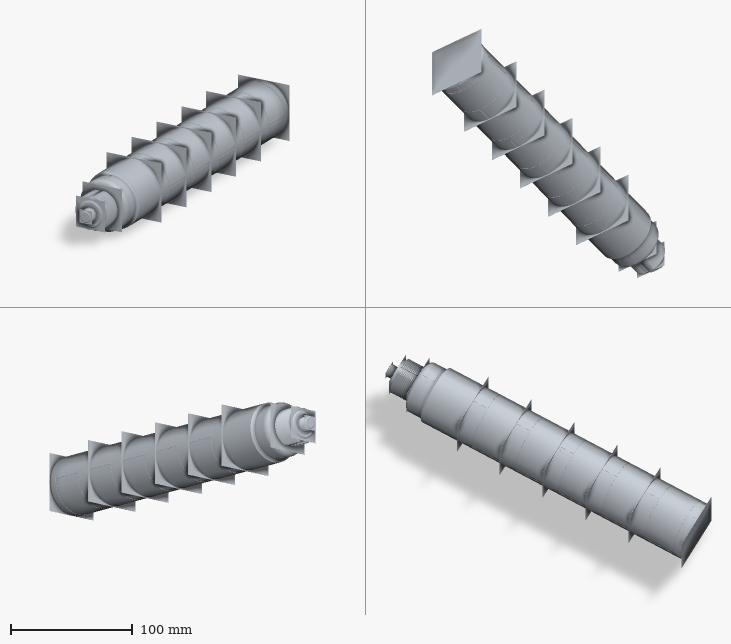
import cadquery as cq

length = 292.0

body_radius = 25.0
rear_radius = 24.2
rear_taper = 2.3
shoulder_y = 44.5
shoulder_chamfer = 1.0
shoulder_end_radius = 24.0

module_count = 5
first_module_front_y = 242.8
last_module_front_y = 79.8
module_pitch = (first_module_front_y - last_module_front_y) / (module_count - 1)
ring_length = 13.7
lens_length = module_pitch - ring_length
rear_joint_y = first_module_front_y + module_pitch
joint_width = 0.5
joint_depth = 0.3

seam_width = 2.5
seam_depth = 0.3

neck_radius = 22.8
neck_top_y = 43.0
neck_end_y = 27.8
neck_fillet = 4.5

mount_radius = 15.8
mount_root_radius = 14.5
mount_start_y = 26.3
mount_pitch = 1.5
mount_turns = 11
mount_end_y = mount_start_y - mount_turns * mount_pitch
mount_relief_radius = 14.0
mount_flat_height = 15.0
key_slot_width = 3.5
key_slot_floor = 13.7

nose_radius = 13.7
nose_end_y = 8.5
rim_outer_radius = 12.0
rim_top_radius = 10.5
rim_inner_radius = 8.8
rim_height = 1.0

plug_radius = 5.8
plug_root_radius = 5.3
plug_pitch = 1.02
plug_turns = 7
plug_tip_radius = 4.0
plug_tip_length = 0.5

plate_thickness = 0.15
module_plate_side = 52.0
rear_plate_side = 49.0
neck_plate_side = 37.7
nose_plate_side = 27.2
tip_plate_side = 11.7

module_front_ys = [first_module_front_y - i * module_pitch for i in range(module_count)]


def thread_points(crest, root, start_y, pitch, turns):
    """Saw-tooth outline running towards -Y, starting and ending at the root."""
    points = [(root, start_y)]
    for turn in range(turns):
        turn_y = start_y - turn * pitch
        points.append((crest, turn_y - pitch / 2))
        points.append((root, turn_y - pitch))
    return points


def turned(points):
    """Revolve a closed (radius, Y) outline about the Y axis."""
    return cq.Workplane("XY").polyline(points).close().revolve(360, (0, 0, 0), (0, 1, 0))


def box(size_x, size_y, size_z, center):
    """Block centred on the given point."""
    return cq.Workplane("XY").box(size_x, size_y, size_z).translate(center)


def make_body():
    """Plain lamp stack with its tapered rear edge, chamfered shoulder and rounded neck."""
    body = turned([
        (0, length),
        (rear_radius, length),
        (body_radius, length - rear_taper),
        (body_radius, shoulder_y + shoulder_chamfer),
        (shoulder_end_radius, shoulder_y),
        (neck_radius, neck_top_y),
        (neck_radius, neck_end_y),
        (0, neck_end_y),
    ])
    return body.faces("<Y").edges().fillet(neck_fillet)


def make_mount():
    """Mounting thread and nose, with flats and key slots above and below."""
    thread = thread_points(mount_radius, mount_root_radius, mount_start_y, mount_pitch, mount_turns)
    outline = [(0, neck_end_y), (mount_relief_radius, neck_end_y), (mount_relief_radius, mount_start_y)]
    outline += thread
    outline += [
        (nose_radius, mount_end_y),
        (nose_radius, nose_end_y),
        (rim_outer_radius, nose_end_y),
        (rim_top_radius, nose_end_y - rim_height),
        (rim_inner_radius, nose_end_y - rim_height),
        (rim_inner_radius, nose_end_y),
        (0, nose_end_y),
    ]
    mount = turned(outline)
    cut_length = mount_start_y - mount_end_y
    cut_y = (mount_start_y + mount_end_y) / 2
    for side in (1, -1):
        flat_z = side * (mount_flat_height + mount_radius / 2)
        slot_z = side * (key_slot_floor + mount_radius / 2)
        mount = mount.cut(box(2 * mount_radius, cut_length, mount_radius, (0, cut_y, flat_z)))
        mount = mount.cut(box(key_slot_width, cut_length, mount_radius, (0, cut_y, slot_z)))
    return mount


def make_plug():
    """Finely threaded plug with a tapered tip."""
    thread = thread_points(plug_radius, plug_root_radius, nose_end_y, plug_pitch, plug_turns)
    return turned([
        (0, nose_end_y),
        *thread,
        (plug_root_radius, plug_tip_length),
        (plug_tip_radius, 0),
        (0, 0),
    ])


def joint_groove(center_y):
    """Shallow groove around the body where two modules meet."""
    top_y = center_y + joint_width / 2
    bottom_y = center_y - joint_width / 2
    inner = body_radius - joint_depth
    outer = body_radius + joint_depth
    return turned([(inner, top_y), (outer, top_y), (outer, bottom_y), (inner, bottom_y)])


def seam_pair(start_y, end_y, radius, vertical):
    """Two opposite shallow seams along the tower, at +-Z if vertical, else at +-X."""
    run = start_y - end_y
    floor_radius = radius - seam_depth
    center = floor_radius + seam_width / 2
    center_y = (start_y + end_y) / 2
    seam = box(seam_width, run, seam_width, (0, center_y, center))
    seam = seam.union(box(seam_width, run, seam_width, (0, center_y, -center)))
    if vertical:
        return seam
    return seam.rotate((0, 0, 0), (0, 1, 0), 90)


def square_plate(side, front_y):
    """Thin square plate across the axis, reaching rearwards from front_y."""
    return box(side, plate_thickness, side, (0, front_y + plate_thickness / 2, 0))


result = make_body()

result = result.cut(joint_groove(rear_joint_y))
result = result.cut(seam_pair(length, rear_joint_y, body_radius, True))
for front_y in module_front_ys:
    ring_rear_y = front_y + ring_length
    lens_rear_y = ring_rear_y + lens_length
    result = result.cut(joint_groove(ring_rear_y))
    result = result.cut(seam_pair(lens_rear_y, ring_rear_y, body_radius, False))
    result = result.cut(seam_pair(ring_rear_y, front_y, body_radius, True))
result = result.cut(seam_pair(neck_top_y, neck_end_y + neck_fillet, neck_radius, True))

result = result.union(make_mount()).union(make_plug())

for front_y in module_front_ys:
    result = result.union(square_plate(module_plate_side, front_y))
result = result.union(square_plate(rear_plate_side, length - plate_thickness))
result = result.union(square_plate(neck_plate_side, neck_end_y))
result = result.union(square_plate(nose_plate_side, nose_end_y))
result = result.union(square_plate(tip_plate_side, plug_tip_length))